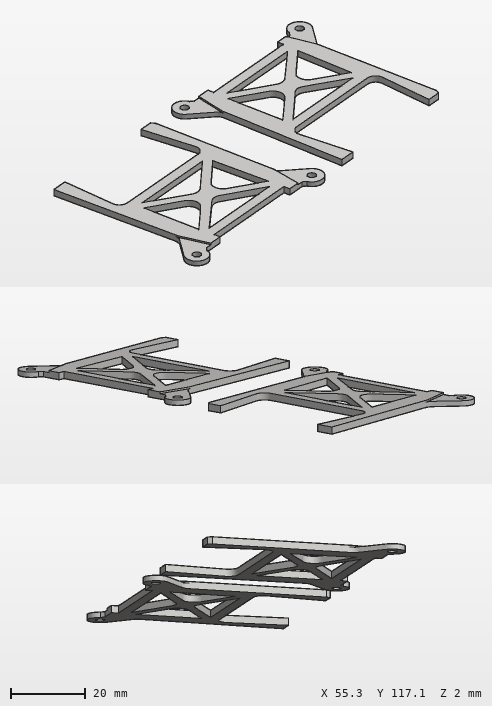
import cadquery as cq
import math


frame_thickness = 2.0
ear_thickness = 1.5

ear_radius = 3.5
ear_hole_diameter = 2.5
ear_hole_spacing = 51.3
ear_neck_drop = 4.3
ear_flank_angle = math.radians(45)
ear_flank_fillet = 3.1
ear_seam_end_x = 9.45

overall_x = 55.26
overall_y = 117.08
hole_offset_x = overall_x / 2 - ear_radius
bracket_pitch_y = overall_y - ear_hole_spacing - 2 * ear_radius

left_rail_outer_x = 1.95
left_rail_inner_x = 5.05
right_rail_inner_x = 27.3
right_rail_outer_x = 30.45
arm_end_x = 50.35
arm_root_fillet = 2.7

upper_edge_y = 21.35
upper_seam_y = 19.45
upper_foot_y = 15.8
upper_arm_root_y = 18.4
upper_arm_tip_y = 16.4
tip_chamfer_x = 1.25
tip_chamfer_y = 0.65

lower_edge_y = -21.65
lower_edge_tip_y = -22.5
lower_seam_y = -19.4
lower_foot_y = -15.3
lower_arm_root_y = -19.05
lower_arm_tip_y = -17.55

window_apex_radius = 3.2
end_window_left_x = 6.95
end_window_right_x = 25.3
upper_window_left_y = 15.55
upper_window_right_y = 15.05
lower_window_y = -15.6
left_window_top_y = 13.5
right_window_top_y = 13.1
right_window_bottom_y = -13.7
upper_apex = (16.25, 1.95)
lower_apex = (16.15, -2.1)
left_apex = (14.1, 0.0)
right_apex = (18.1, -0.3)


def triangle_window(base_start, base_end, apex):
    """Cutter for a triangular window whose apex corner is rounded."""
    cutter = cq.Workplane("XY").polyline([base_start, base_end, apex]).close().extrude(frame_thickness)
    apex_edge = cq.selectors.NearestToPointSelector((*apex, frame_thickness / 2))
    return cutter.edges(apex_edge).fillet(window_apex_radius)


def frame_plate():
    """Outer outline of the frame with its two feet and two tapered arms."""
    outline = [
        (0, upper_seam_y),
        (ear_seam_end_x, upper_edge_y),
        (arm_end_x - tip_chamfer_x, upper_edge_y),
        (arm_end_x, upper_edge_y - tip_chamfer_y),
        (arm_end_x, upper_arm_tip_y),
        (right_rail_outer_x, upper_arm_root_y),
        (right_rail_outer_x, lower_arm_root_y),
        (arm_end_x, lower_arm_tip_y),
        (arm_end_x, lower_edge_tip_y),
        (ear_seam_end_x, lower_edge_y),
        (0, lower_seam_y),
        (0, lower_foot_y),
        (left_rail_outer_x, lower_foot_y),
        (left_rail_outer_x, upper_foot_y),
        (0, upper_foot_y),
    ]
    plate = cq.Workplane("XY").polyline(outline).close().extrude(frame_thickness)
    for root_y in (upper_arm_root_y, lower_arm_root_y):
        root = (right_rail_outer_x, root_y, frame_thickness / 2)
        plate = plate.edges(cq.selectors.NearestToPointSelector(root)).fillet(arm_root_fillet)
    return plate


def cut_windows(plate):
    """Open the four windows around the crossed struts."""
    windows = [
        ((end_window_left_x, upper_window_left_y), (end_window_right_x, upper_window_right_y), upper_apex),
        ((end_window_left_x, lower_window_y), (end_window_right_x, lower_window_y), lower_apex),
        ((left_rail_inner_x, left_window_top_y), (left_rail_inner_x, -left_window_top_y), left_apex),
        ((right_rail_inner_x, right_window_top_y), (right_rail_inner_x, right_window_bottom_y), right_apex),
    ]
    for base_start, base_end, apex in windows:
        plate = plate.cut(triangle_window(base_start, base_end, apex))
    return plate


def ear(side, seam_y, edge_y):
    """Thinner ear on the upper (side = 1) or lower (side = -1) corner, without its hole."""
    hole_y = side * ear_hole_spacing / 2
    half_flank_angle = ear_flank_angle / 2
    flank_cosine = math.cos(ear_flank_angle)
    diagonal = ear_radius * flank_cosine

    neck_run = (ear_neck_drop - math.sqrt(2 * ear_radius ** 2 - ear_neck_drop ** 2)) / 2
    neck_foot = (0, hole_y - side * ear_neck_drop)
    neck_top = (-neck_run, hole_y - side * (ear_neck_drop - neck_run))

    flank_start = (diagonal, hole_y + side * diagonal)
    flank_corner_x = diagonal + abs(flank_start[1] - edge_y)
    fillet_reach = ear_flank_fillet * math.tan(half_flank_angle)
    fillet_start = (
        flank_corner_x - fillet_reach * flank_cosine,
        edge_y + side * fillet_reach * flank_cosine,
    )
    fillet_end = (flank_corner_x + fillet_reach, edge_y)
    fillet_middle = (
        fillet_end[0] - ear_flank_fillet * math.sin(half_flank_angle),
        edge_y + side * ear_flank_fillet * (1 - math.cos(half_flank_angle)),
    )
    return (
        cq.Workplane("XY")
        .moveTo(0, seam_y)
        .lineTo(*neck_foot)
        .lineTo(*neck_top)
        .threePointArc((-diagonal, hole_y + side * diagonal), flank_start)
        .lineTo(*fillet_start)
        .threePointArc(fillet_middle, fillet_end)
        .lineTo(ear_seam_end_x, edge_y)
        .close()
        .extrude(ear_thickness)
    )


def ear_holes():
    """Cutters for the through holes in both ears."""
    half_spacing = ear_hole_spacing / 2
    return (
        cq.Workplane("XY")
        .pushPoints([(0, half_spacing), (0, -half_spacing)])
        .circle(ear_hole_diameter / 2)
        .extrude(ear_thickness)
    )


def bracket():
    """One complete bracket: frame with windows and two drilled ears."""
    body = cut_windows(frame_plate())
    body = body.union(ear(1, upper_seam_y, upper_edge_y))
    body = body.union(ear(-1, lower_seam_y, lower_edge_y))
    return body.cut(ear_holes())


upper_bracket = bracket().translate((-hole_offset_x, bracket_pitch_y / 2, 0))
lower_bracket = upper_bracket.mirror("YZ").translate((0, -bracket_pitch_y, 0))

result = cq.Compound.makeCompound([upper_bracket.val(), lower_bracket.val()])